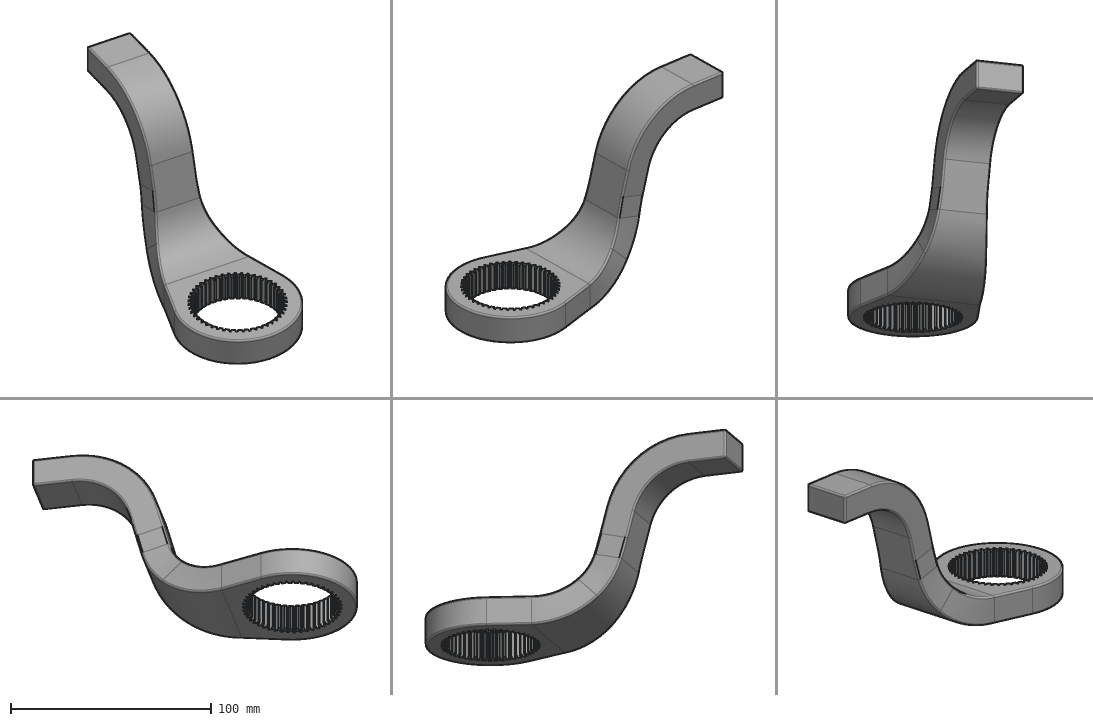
import cadquery as cq
import math

length = 162.5
height = 95.0
thickness = 15.0
edge_fillet = 1.0

arm_width = 25.0
arm_end_length = 20.0
bend_angle = math.radians(75)
bend_inner_radius = 30.0
bend_outer_radius = bend_inner_radius + thickness
bend_mid_radius = bend_inner_radius + thickness / 2

ring_radius = 32.5
ring_x = length - ring_radius
taper_angle = math.radians(16.6)
unfolding_radius = 33.8
taper_blend_radius = 99.1

tooth_count = 47
pitch_radius = 47.0 / 2
module = 2 * pitch_radius / tooth_count
pressure_angle = math.radians(20)
addendum = module
dedendum = 1.25 * module
tip_radius = pitch_radius - addendum
root_radius = pitch_radius + dedendum
tooth_chamfer = 1.0

sin_bend = math.sin(bend_angle)
cos_bend = math.cos(bend_angle)
slope_length = (height - thickness - 2 * bend_mid_radius * (1 - cos_bend)) / sin_bend
lower_bend_x = arm_end_length + 2 * bend_mid_radius * sin_bend + slope_length * cos_bend
lower_bend_z = thickness + bend_inner_radius
upper_bend_z = height - bend_outer_radius


def upper_bend_point(radius, angle):
    """Point in the upper bend, the angle measured from where the bend meets the handle end."""
    return (arm_end_length + radius * math.sin(angle), upper_bend_z + radius * math.cos(angle))


def lower_bend_point(radius, angle):
    """Point in the lower bend, the angle measured from where the bend meets the ring."""
    return (lower_bend_x - radius * math.sin(angle), lower_bend_z - radius * math.cos(angle))


def bent_bar():
    """The S-shaped bar at the full width of the ring."""
    half_bend = bend_angle / 2
    return (
        cq.Workplane("XZ")
        .moveTo(0, height)
        .lineTo(arm_end_length, height)
        .threePointArc(
            upper_bend_point(bend_outer_radius, half_bend),
            upper_bend_point(bend_outer_radius, bend_angle),
        )
        .lineTo(*lower_bend_point(bend_inner_radius, bend_angle))
        .threePointArc(
            lower_bend_point(bend_inner_radius, half_bend),
            lower_bend_point(bend_inner_radius, 0),
        )
        .lineTo(length, thickness)
        .lineTo(length, 0)
        .lineTo(lower_bend_x, 0)
        .threePointArc(
            lower_bend_point(bend_outer_radius, half_bend),
            lower_bend_point(bend_outer_radius, bend_angle),
        )
        .lineTo(*upper_bend_point(bend_inner_radius, bend_angle))
        .threePointArc(
            upper_bend_point(bend_inner_radius, half_bend),
            upper_bend_point(bend_inner_radius, 0),
        )
        .lineTo(0, height - thickness)
        .close()
        .extrude(ring_radius, both=True)
    )


tangent_x = ring_x - ring_radius * math.sin(taper_angle)
tangent_y = ring_radius * math.cos(taper_angle)
bend_start_half_width = tangent_y - (tangent_x - lower_bend_x) * math.tan(taper_angle)
taper_end = (bend_start_half_width - arm_width / 2) / math.tan(taper_angle)
blend_reach = taper_blend_radius * math.tan(taper_angle / 2)
blend_start = taper_end - blend_reach * math.cos(taper_angle)
blend_end = taper_end + blend_reach
unfolded_bend_length = unfolding_radius * bend_angle


def half_width(distance):
    """Half the bar's width at an unfolded distance from the ring end of the lower bend."""
    if distance <= blend_start:
        return bend_start_half_width - distance * math.tan(taper_angle)
    if distance >= blend_end:
        return arm_width / 2
    run = blend_end - distance
    return arm_width / 2 + taper_blend_radius - math.sqrt(taper_blend_radius**2 - run**2)


def bar_point(radius, distance):
    """Point on the edge of the bar, on the surface that has this radius in the lower bend."""
    angle = min(distance / unfolding_radius, bend_angle)
    x, z = lower_bend_point(radius, angle)
    straight = max(distance - unfolded_bend_length, 0)
    return cq.Vector(x - straight * cos_bend, half_width(distance), z + straight * sin_bend)


def flare(start, end):
    """One stretch of the widening bar on the +Y side, from its side face inward."""
    clearance = 1.6
    steps = 8
    edges = []
    for radius in (bend_inner_radius - clearance, bend_outer_radius + clearance):
        points = [bar_point(radius, start + (end - start) * i / steps) for i in range(steps + 1)]
        edges.append(cq.Edge.makeSpline(points))
    side_face = cq.Face.makeRuledSurface(*edges)
    return cq.Workplane(cq.Solid.extrudeLinear(side_face, cq.Vector(0, -arm_width / 2, 0)))


def head():
    """Flat taper running tangent into the ring."""
    return (
        cq.Workplane("XY")
        .moveTo(lower_bend_x, -bend_start_half_width)
        .lineTo(tangent_x, -tangent_y)
        .threePointArc((length, 0), (tangent_x, tangent_y))
        .lineTo(lower_bend_x, bend_start_half_width)
        .close()
        .extrude(thickness)
    )


def body():
    """The bent bar cut to the width of the handle, the flare and the head."""
    allowed = cq.Workplane("XY").box(
        lower_bend_x, arm_width, height, centered=(False, True, False)
    )
    stations = (0, blend_start, unfolded_bend_length, blend_end)
    for start, end in zip(stations, stations[1:]):
        side = flare(start, end)
        allowed = allowed.union(side).union(side.mirror("XZ"))
    return bent_bar().intersect(allowed.union(head()))


def is_outer_edge(edge):
    """True for the bar's sharp edges, false for the lines where two of its faces run on smoothly."""
    box = edge.BoundingBox()
    tolerance = 0.002
    if box.xmax < tolerance:
        return True
    runs_across = box.xlen < tolerance and box.zlen < tolerance
    runs_through = edge.geomType() == "LINE" and abs(edge.Length() - thickness) < tolerance
    return not (runs_across or runs_through)


def involute(angle):
    """Involute function of a pressure angle."""
    return math.tan(angle) - angle


def flank_point(radius, center_angle, side):
    """Point on one involute flank of the gap whose middle lies at center_angle."""
    base_radius = pitch_radius * math.cos(pressure_angle)
    half_gap = (
        math.pi / (2 * tooth_count)
        + involute(pressure_angle)
        - involute(math.acos(base_radius / radius))
    )
    angle = center_angle + side * half_gap
    return (ring_x + radius * math.cos(angle), radius * math.sin(angle))


def gear_bore():
    """Through hole with internal teeth, a gap between teeth pointing along +X."""
    bore = cq.Workplane("XY").moveTo(*flank_point(tip_radius, 0, -1))
    pitch_angle = 2 * math.pi / tooth_count
    for i in range(tooth_count):
        center = i * pitch_angle
        bore = (
            bore.threePointArc(
                flank_point(pitch_radius, center, -1),
                flank_point(root_radius, center, -1),
            )
            .lineTo(*flank_point(root_radius, center, 1))
            .threePointArc(
                flank_point(pitch_radius, center, 1),
                flank_point(tip_radius, center, 1),
            )
        )
        if i < tooth_count - 1:
            bore = bore.lineTo(*flank_point(tip_radius, center + pitch_angle, -1))
    return bore.close().extrude(thickness)


def bore_chamfers():
    """Cones that chamfer the teeth on both faces of the ring."""
    cone = cq.Solid.makeCone(
        tip_radius + tooth_chamfer, tip_radius, tooth_chamfer, cq.Vector(ring_x, 0, 0)
    )
    bottom = cq.Workplane(cone)
    top = bottom.mirror("XY", (0, 0, thickness / 2))
    return bottom.union(top)


blank = body()
outer_edges = [edge for edge in blank.edges().vals() if is_outer_edge(edge)]
result = blank.newObject(outer_edges).fillet(edge_fillet).cut(gear_bore()).cut(bore_chamfers())